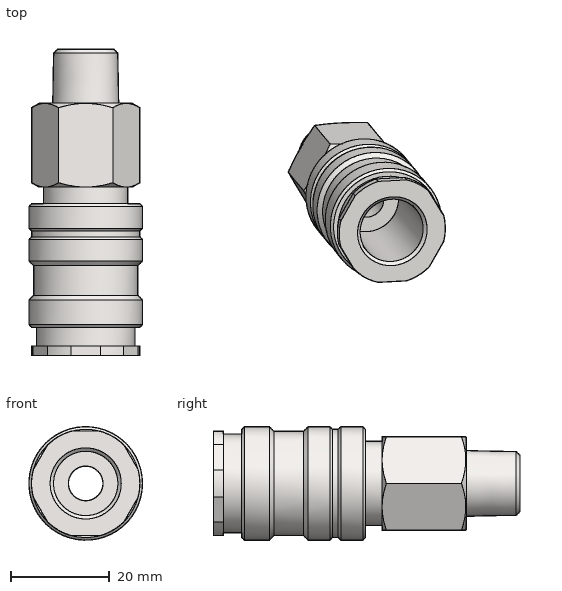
import cadquery as cq
import math

cos_30 = math.cos(math.radians(30))

length = 62.0

thread_start = 51.15
thread_tip_radius = 6.5
thread_root_radius = 6.7
thread_chamfer = 0.8

hex_start = 34.1
hex_across_flats = 19.0
hex_rear_face_radius = 9.3
hex_rear_chamfer = 1.0
hex_front_face_radius = 9.5
hex_front_chamfer = 0.85
neck_radius = 8.55

sleeve_start = 5.7
sleeve_end = 30.75
sleeve_radius = 23.0 / 2
sleeve_edge_chamfer = 0.55
groove_start = 24.05
groove_end = 25.25
groove_radius = 11.0
groove_edge_chamfer = sleeve_radius - groove_radius
grip_start = 12.2
grip_end = 18.2
grip_radius = 21.15 / 2
grip_slope = sleeve_radius - grip_radius

collar_radius = 20.0 / 2
flange_thickness = 2.0
flange_radius = 11.0
flange_across_flats = 2 * grip_radius

socket_radius = 6.5
socket_depth = 24.8
mouth_radius = 7.2
mouth_chamfer = mouth_radius - socket_radius
passage_radius = 3.5


def revolve_profile(points):
    """Revolve an outline of (radius, y) points, closed along the axis, about Y."""
    closed = [(0, points[0][1])] + points + [(0, points[-1][1])]
    return cq.Workplane("XY").polyline(closed).close().revolve(360, (0, 0, 0), (0, 1, 0))


def hex_prism(across_flats, start, end):
    """Hexagonal prism along Y with two corners on the X axis."""
    corner_diameter = across_flats / cos_30
    return cq.Workplane("XZ", origin=(0, start, 0)).polygon(6, corner_diameter).extrude(start - end)


def make_thread_end():
    return revolve_profile([
        (thread_root_radius, thread_start),
        (thread_tip_radius, length - thread_chamfer),
        (thread_tip_radius - thread_chamfer, length),
    ])


def make_hex():
    corner_radius = hex_across_flats / 2 / cos_30
    chamfer_envelope = revolve_profile([
        (hex_front_face_radius, hex_start),
        (corner_radius, hex_start + hex_front_chamfer),
        (corner_radius, thread_start - hex_rear_chamfer),
        (hex_rear_face_radius, thread_start),
    ])
    return hex_prism(hex_across_flats, hex_start, thread_start).intersect(chamfer_envelope)


def make_sleeve():
    """Collar, sleeve and neck as one turned body between the flange and the hexagon."""
    edge_radius = sleeve_radius - sleeve_edge_chamfer
    return revolve_profile([
        (collar_radius, flange_thickness),
        (collar_radius, sleeve_start),
        (edge_radius, sleeve_start),
        (sleeve_radius, sleeve_start + sleeve_edge_chamfer),
        (sleeve_radius, grip_start - grip_slope),
        (grip_radius, grip_start),
        (grip_radius, grip_end),
        (sleeve_radius, grip_end + grip_slope),
        (sleeve_radius, groove_start - groove_edge_chamfer),
        (groove_radius, groove_start),
        (groove_radius, groove_end),
        (sleeve_radius, groove_end + groove_edge_chamfer),
        (sleeve_radius, sleeve_end - sleeve_edge_chamfer),
        (edge_radius, sleeve_end),
        (neck_radius, sleeve_end),
        (neck_radius, hex_start),
    ])


def make_flange():
    """Round flange trimmed by six flats."""
    disc = revolve_profile([(flange_radius, 0), (flange_radius, flange_thickness)])
    return disc.intersect(hex_prism(flange_across_flats, 0, flange_thickness))


def make_passage():
    """Chamfered socket leading into a narrower through passage."""
    return revolve_profile([
        (mouth_radius, 0),
        (socket_radius, mouth_chamfer),
        (socket_radius, socket_depth),
        (passage_radius, socket_depth),
        (passage_radius, length),
    ])


body = make_flange().union(make_sleeve()).union(make_hex()).union(make_thread_end())
result = body.cut(make_passage())